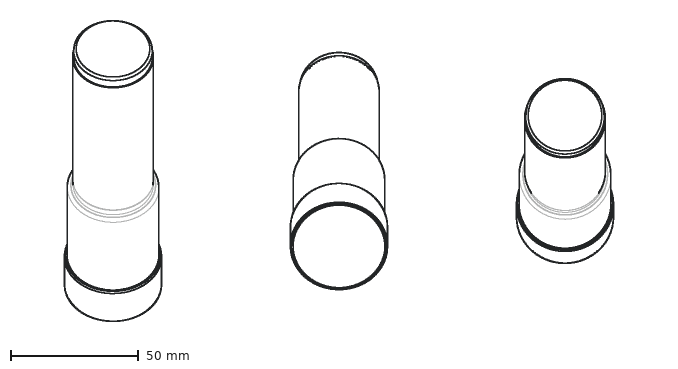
import cadquery as cq
import math

total_height = 142.9

ring_radius = 19.07
ring_height = 18.1
ring_chamfer_width = 0.5
ring_chamfer_height = 0.9
ring_foot_chamfer = 0.5

shank_radius = 18.0
shank_height = 60.6
shank_fillet = 1.3
shaft_radius = 15.9
shaft_bottom = 64.3
shaft_taper_height = 0.5

neck_depth = 0.07
neck_fillet = 0.7

tip_radius = 15.5
tip_length = 4.9
tip_chamfer = 1.0

ARC_MIDDLE = 1 - math.sqrt(0.5)


def revolve_about_z(profile):
    """Turn a closed radius-height profile fully around the Z axis."""
    return profile.revolve(360, (0, 0, 0), (0, 1, 0))


def make_ring():
    """Revolve the chamfered ring, bored to fit the shank."""
    profile = (
        cq.Workplane("XZ")
        .moveTo(shank_radius, 0)
        .lineTo(ring_radius - ring_foot_chamfer, 0)
        .lineTo(ring_radius, ring_foot_chamfer)
        .lineTo(ring_radius, ring_height - ring_chamfer_height)
        .lineTo(ring_radius - ring_chamfer_width, ring_height)
        .lineTo(shank_radius, ring_height)
        .close()
    )
    return revolve_about_z(profile)


def make_pillar():
    """Revolve the solid pillar, which runs through the whole ring."""
    neck_radius = shaft_radius - neck_depth
    tip_bottom = total_height - tip_length
    shank_arc_inset = shank_fillet * ARC_MIDDLE
    neck_arc_inset = neck_fillet * ARC_MIDDLE
    profile = (
        cq.Workplane("XZ")
        .lineTo(shank_radius, 0)
        .lineTo(shank_radius, shank_height - shank_fillet)
        .threePointArc(
            (shank_radius - shank_arc_inset, shank_height - shank_arc_inset),
            (shank_radius - shank_fillet, shank_height),
        )
        .lineTo(neck_radius + neck_fillet, shank_height)
        .threePointArc(
            (neck_radius + neck_arc_inset, shank_height + neck_arc_inset),
            (neck_radius, shank_height + neck_fillet),
        )
        .lineTo(neck_radius, shaft_bottom - shaft_taper_height)
        .lineTo(shaft_radius, shaft_bottom)
        .lineTo(shaft_radius, tip_bottom)
        .lineTo(tip_radius, tip_bottom)
        .lineTo(tip_radius, total_height - tip_chamfer)
        .lineTo(tip_radius - tip_chamfer, total_height)
        .lineTo(0, total_height)
        .close()
    )
    return revolve_about_z(profile)


ring = make_ring()
pillar = make_pillar()

result = cq.Compound.makeCompound([ring.val(), pillar.val()])